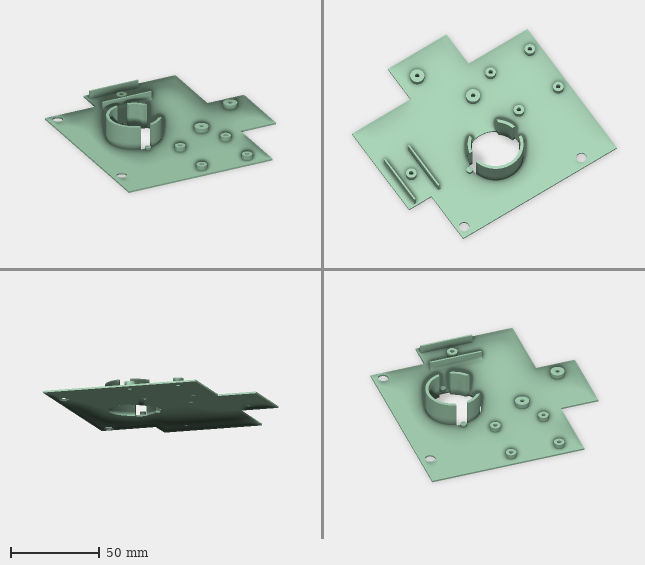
import cadquery as cq


plate_width = 120.0
plate_depth = 114.0
plate_thickness = 1.0
notch_width = 15.2
notch_depth = 32.4
left_shoulder_y = 90.7
right_shoulder_y = 91.5
tab_left_x = 40.0
tab_width = 40.0

mount_hole_diameter = 6.0
mount_hole_centers = [(19.8, 5.9), (99.7, 5.9)]

collar_x = 59.9
collar_y = 33.8
collar_outer_radius = 15.8
collar_inner_radius = 14.0
overall_height = 15.0
side_slot_width = 6.7
rear_gap_width = 18.2

peg_diameter = 3.6
peg_height = 1.8
peg_offset = collar_outer_radius + peg_diameter / 2

standoff_height = 3.0
screw_hole_diameter = 2.5
large_standoff_diameter = 8.0
small_standoff_diameter = 6.0
large_standoff_centers = [(50.5, 99.8), (69.8, 71.8)]
left_standoff_x = 13.1
right_standoff_columns = [86.4, 113.2]
front_standoff_y = 49.8
rear_standoff_y = 78.7
small_standoff_centers = [(left_standoff_x, front_standoff_y)]
for column_x in right_standoff_columns:
    for row_y in (front_standoff_y, rear_standoff_y):
        small_standoff_centers.append((column_x, row_y))

rail_height = 5.0
rail_thickness = 1.0
rail_fillet_radius = 1.8
rail_front_y = 33.6
rail_length = 31.0
left_rail_inner_x = 5.4
right_rail_inner_x = 20.6


def make_plate():
    tab_right_x = tab_left_x + tab_width
    outline = [
        (notch_width, 0),
        (plate_width, 0),
        (plate_width, right_shoulder_y),
        (tab_right_x, right_shoulder_y),
        (tab_right_x, plate_depth),
        (tab_left_x, plate_depth),
        (tab_left_x, left_shoulder_y),
        (0, left_shoulder_y),
        (0, notch_depth),
        (notch_width, notch_depth),
    ]
    plate = cq.Workplane("XY").polyline(outline).close().extrude(plate_thickness)
    holes = (
        cq.Workplane("XY")
        .pushPoints(mount_hole_centers)
        .circle(mount_hole_diameter / 2)
        .extrude(plate_thickness)
    )
    return plate.cut(holes)


def collar_cylinder(radius):
    return cq.Workplane("XY").center(collar_x, collar_y).circle(radius).extrude(overall_height)


def make_collar_opening():
    """Bore, two side slots and the rear gap, bounded by the collar's outer radius."""
    side_slots = (
        cq.Workplane("XY")
        .center(collar_x, collar_y)
        .rect(2 * collar_outer_radius, side_slot_width)
        .extrude(overall_height)
    )
    rear_gap = (
        cq.Workplane("XY")
        .center(collar_x, collar_y + collar_outer_radius / 2)
        .rect(rear_gap_width, collar_outer_radius)
        .extrude(overall_height)
        .intersect(collar_cylinder(collar_outer_radius))
    )
    return collar_cylinder(collar_inner_radius).union(side_slots).union(rear_gap)


def make_posts(centers, diameter, height):
    """Round posts rising from the top of the plate."""
    return (
        cq.Workplane("XY")
        .workplane(offset=plate_thickness)
        .pushPoints(centers)
        .circle(diameter / 2)
        .extrude(height)
    )


def make_screw_holes():
    return (
        cq.Workplane("XY")
        .pushPoints(large_standoff_centers + small_standoff_centers)
        .circle(screw_hole_diameter / 2)
        .extrude(plate_thickness + standoff_height)
    )


def make_rail(inner_x, outward):
    """Rail whose foot spreads in the outward X direction (-1 or +1)."""
    outer_x = inner_x + outward * rail_thickness
    toe_x = outer_x + outward * rail_fillet_radius
    fillet_top = plate_thickness + rail_fillet_radius
    arc_reach = rail_fillet_radius * (1 - 0.5 ** 0.5)
    rail_top = plate_thickness + rail_height
    return (
        cq.Workplane("XZ", origin=(0, rail_front_y, 0))
        .moveTo(inner_x, plate_thickness)
        .lineTo(inner_x, rail_top)
        .lineTo(outer_x, rail_top)
        .lineTo(outer_x, fillet_top)
        .threePointArc(
            (outer_x + outward * arc_reach, plate_thickness + arc_reach),
            (toe_x, plate_thickness),
        )
        .close()
        .extrude(-rail_length)
    )


def make_base():
    peg_centers = [(collar_x + side * peg_offset, collar_y) for side in (-1, 1)]
    base = make_plate().union(collar_cylinder(collar_outer_radius)).cut(make_collar_opening())
    base = base.union(make_posts(peg_centers, peg_diameter, peg_height))
    base = base.union(make_posts(large_standoff_centers, large_standoff_diameter, standoff_height))
    base = base.union(make_posts(small_standoff_centers, small_standoff_diameter, standoff_height))
    base = base.union(make_rail(left_rail_inner_x, -1))
    base = base.union(make_rail(right_rail_inner_x, 1))
    return base.cut(make_screw_holes())


base = make_base()
result = cq.Compound.makeCompound([base.val()])